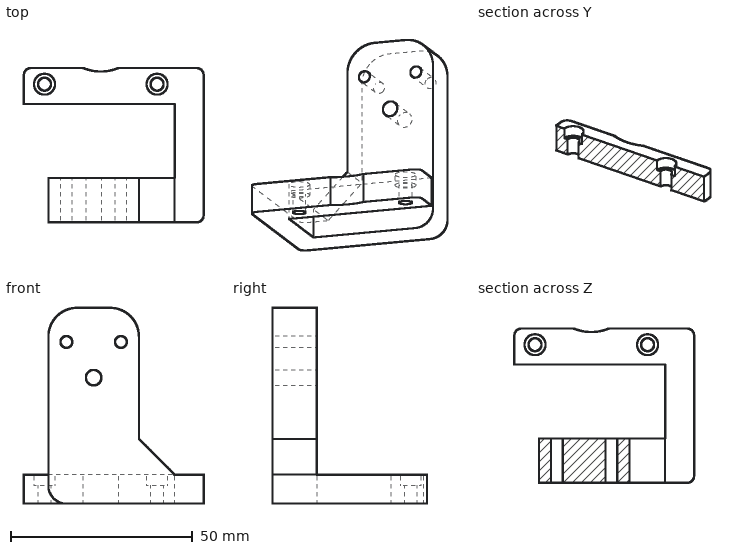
import cadquery as cq

LENGTH = 49.55
DEPTH = 42.55
HEIGHT = 54.0

BASE_HEIGHT = 8.0
BAR_WIDTH = 9.95
ARM_WIDTH = 8.0
BASE_CORNER_RADIUS = 2.0

PLATE_LEFT = 6.75
PLATE_WIDTH = 25.0
PLATE_THICKNESS = 12.25
PLATE_TOP_RADIUS = 8.0
PLATE_FOOT_RADIUS = 5.0

SMALL_HOLE_DIAMETER = 3.2
SMALL_HOLE_SPACING = 15.0
SMALL_HOLE_Z = 44.55
CENTRE_HOLE_DIAMETER = 4.2
CENTRE_HOLE_Z = 34.7

SCREW_DIAMETER = 3.5
COUNTERBORE_DIAMETER = 5.8
COUNTERBORE_DEPTH = 3.0
FIRST_SCREW_X = 5.7
SCREW_SPACING = 31.0
SCREW_BACK_OFFSET = 4.5

SCALLOP_CENTRE_X = 21.2
SCALLOP_WIDTH = 9.7
SCALLOP_DEPTH = 0.95

plate_right = PLATE_LEFT + PLATE_WIDTH
plate_centre_x = PLATE_LEFT + PLATE_WIDTH / 2
arm_left = LENGTH - ARM_WIDTH
gusset_size = arm_left - plate_right
bar_front = DEPTH - BAR_WIDTH


def make_base():
    """Rear bar joined to the side arm, with rounded outer corners."""
    bar = cq.Workplane("XY").box(LENGTH, BAR_WIDTH, BASE_HEIGHT, centered=False)
    bar = bar.translate((0, bar_front, 0))
    arm = cq.Workplane("XY").box(ARM_WIDTH, DEPTH, BASE_HEIGHT, centered=False)
    arm = arm.translate((arm_left, 0, 0))
    base = bar.union(arm)
    base = base.edges("|Z and >Y").fillet(BASE_CORNER_RADIUS)
    return base.edges("|Z and >X and <Y").fillet(BASE_CORNER_RADIUS)


def make_plate():
    """Upright plate with a 45 degree gusset and a foot reaching the side arm."""
    outline = (
        cq.Workplane("XZ")
        .moveTo(PLATE_LEFT, 0)
        .lineTo(arm_left + ARM_WIDTH / 2, 0)
        .lineTo(arm_left + ARM_WIDTH / 2, BASE_HEIGHT)
        .lineTo(arm_left, BASE_HEIGHT)
        .lineTo(plate_right, BASE_HEIGHT + gusset_size)
        .lineTo(plate_right, HEIGHT)
        .lineTo(PLATE_LEFT, HEIGHT)
        .close()
    )
    plate = outline.extrude(-PLATE_THICKNESS)
    plate = plate.edges("|Y and >Z").fillet(PLATE_TOP_RADIUS)
    return plate.edges("|Y and <X and <Z").fillet(PLATE_FOOT_RADIUS)


def plate_hole(diameter, x, z):
    """Cutter for a hole running front to back through the plate."""
    return cq.Workplane("XZ").center(x, z).circle(diameter / 2).extrude(-PLATE_THICKNESS)


def make_scallop():
    """Cutter whose arc meets the back face at both ends of the scallop."""
    half_width = SCALLOP_WIDTH / 2
    return (
        cq.Workplane("XY")
        .moveTo(SCALLOP_CENTRE_X - half_width, DEPTH)
        .threePointArc(
            (SCALLOP_CENTRE_X, DEPTH - SCALLOP_DEPTH),
            (SCALLOP_CENTRE_X + half_width, DEPTH),
        )
        .close()
        .extrude(BASE_HEIGHT)
    )


result = make_base().union(make_plate())

for side in (-1, 1):
    hole_x = plate_centre_x + side * SMALL_HOLE_SPACING / 2
    result = result.cut(plate_hole(SMALL_HOLE_DIAMETER, hole_x, SMALL_HOLE_Z))
result = result.cut(plate_hole(CENTRE_HOLE_DIAMETER, plate_centre_x, CENTRE_HOLE_Z))

screw_y = DEPTH - SCREW_BACK_OFFSET
result = (
    result.cut(make_scallop())
    .copyWorkplane(cq.Workplane("XY", origin=(0, 0, BASE_HEIGHT)))
    .pushPoints([(FIRST_SCREW_X, screw_y), (FIRST_SCREW_X + SCREW_SPACING, screw_y)])
    .cboreHole(SCREW_DIAMETER, COUNTERBORE_DIAMETER, COUNTERBORE_DEPTH)
)